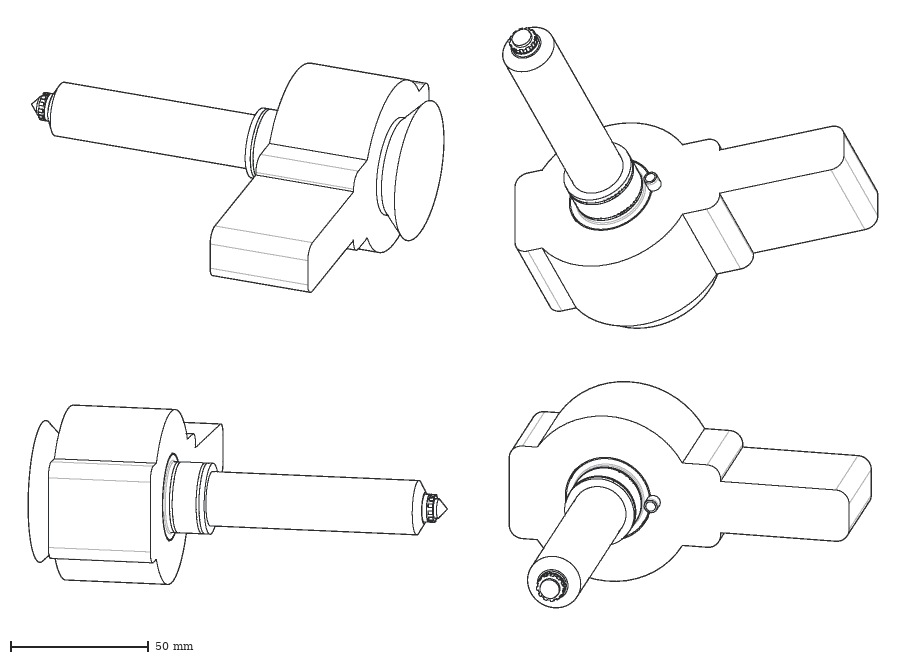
import cadquery as cq

housing_thickness = 38.0
disc_radius = 32.0
lug_reach = 37.0
lug_half_height = 18.0
shoulder_reach = 42.0
shoulder_half_height = 16.0
handle_reach = 90.0
handle_half_height = 10.0
corner_radius = 5.0

barrel_radius = 10.0
barrel_front = -92.0
nose_length = 2.5
nose_radius = 5.7
collar_radius = 13.0
collar_length = 15.0
collar_fillet = 0.5
flange_radius = 15.5
flange_depth = 5.0
flange_clearance = 0.5

ring_width = 1.0
ring_depth = 0.5
ring_inset = 2.0

point_length = 3.3
stem_radius = 3.6
stem_length = 1.2
nozzle_radius = 5.1
toothed_length = 1.7
relief_width = 0.6
relief_radius = 4.7
rim_length = 1.7
tooth_count = 12

pin_radius = 2.5
pin_offset = 16.9
pin_projection = 4.8
pin_point_length = 1.4
pin_point_radius = 1.8
pin_lead_length = 0.9
pin_lead_depth = 0.2

neck_radius = 18.1
neck_length = 2.0
flare_radius = 26.0
flare_length = 8.0

collar_front = -collar_length
nose_front = barrel_front - nose_length
rim_front = nose_front - rim_length
relief_front = rim_front - relief_width
teeth_front = relief_front - toothed_length
stem_front = teeth_front - stem_length
nozzle_tip = stem_front - point_length
ring_starts = [collar_front + ring_inset, -ring_inset - ring_width]


def half_profile(x, radius):
    """Start a profile of (X, radius) points for a body turned about the spindle axis."""
    profile_plane = cq.Plane(origin=(0, 0, 0), xDir=(1, 0, 0), normal=(0, 0, -1))
    return cq.Workplane(profile_plane).moveTo(x, radius)


def turned(profile):
    """Close the profile and turn it about the spindle axis."""
    return profile.close().revolve(360, (0, 0, 0), (1, 0, 0))


def cylinder(x, length, radius, offset=0):
    """A cylinder along X, its axis moved from the spindle axis by `offset` towards -Y."""
    return cq.Workplane("YZ", origin=(x, -offset, 0)).circle(radius).extrude(length)


def housing_arm(reach, half_height, rounded_edges):
    """A rounded bar from the spindle axis to Y = reach, as thick as the housing."""
    bar = cq.Workplane("XY").box(housing_thickness, abs(reach), 2 * half_height)
    bar = bar.translate((housing_thickness / 2, reach / 2, 0))
    return bar.edges(rounded_edges).fillet(corner_radius)


def pin_hole():
    return cylinder(0, flange_depth, pin_radius, pin_offset)


def make_housing():
    housing = cylinder(0, housing_thickness, disc_radius)
    housing = housing.union(housing_arm(lug_reach, lug_half_height, ">Y and |X"))
    housing = housing.union(housing_arm(-shoulder_reach, shoulder_half_height, "<Y and |X"))
    housing = housing.union(housing_arm(-handle_reach, handle_half_height, "<Y and |X"))
    flange_seat = cylinder(0, flange_depth, flange_radius + flange_clearance)
    return housing.cut(flange_seat).cut(pin_hole())


def make_ring(start):
    outer = cylinder(start, ring_width, collar_radius)
    return outer.cut(cylinder(start, ring_width, collar_radius - ring_depth))


def make_spindle():
    profile = (
        half_profile(nose_front, 0)
        .lineTo(nose_front, nose_radius)
        .lineTo(barrel_front, barrel_radius)
        .lineTo(collar_front, barrel_radius)
        .lineTo(collar_front, collar_radius)
        .lineTo(-collar_fillet, collar_radius)
        .radiusArc((0, collar_radius + collar_fillet), -collar_fillet)
        .lineTo(0, flange_radius)
        .lineTo(flange_depth, flange_radius)
        .lineTo(flange_depth, 0)
    )
    spindle = turned(profile)
    for start in ring_starts:
        spindle = spindle.cut(make_ring(start))
    return spindle.cut(pin_hole())


def tooth_gap():
    """One gap between two teeth: a ring sector as wide as a tooth."""
    section = (
        half_profile(teeth_front, relief_radius)
        .lineTo(teeth_front, nozzle_radius)
        .lineTo(relief_front, nozzle_radius)
        .lineTo(relief_front, relief_radius)
        .close()
    )
    return section.revolve(360 / tooth_count / 2, (0, 0, 0), (1, 0, 0))


def make_nozzle():
    profile = (
        half_profile(nozzle_tip, 0)
        .lineTo(stem_front, stem_radius)
        .lineTo(teeth_front, stem_radius)
        .lineTo(teeth_front, nozzle_radius)
        .lineTo(relief_front, nozzle_radius)
        .lineTo(relief_front, relief_radius)
        .lineTo(rim_front, relief_radius)
        .lineTo(rim_front, nozzle_radius)
        .lineTo(nose_front, nozzle_radius)
        .lineTo(nose_front, 0)
    )
    nozzle = turned(profile)
    gap = tooth_gap()
    for i in range(tooth_count):
        nozzle = nozzle.cut(gap.rotate((0, 0, 0), (1, 0, 0), i * 360 / tooth_count))
    return nozzle


def make_pin():
    profile = (
        half_profile(-pin_projection - pin_point_length, 0)
        .lineTo(-pin_projection, pin_point_radius)
        .lineTo(-pin_projection, pin_radius - pin_lead_depth)
        .lineTo(pin_lead_length - pin_projection, pin_radius)
        .lineTo(flange_depth, pin_radius)
        .lineTo(flange_depth, 0)
    )
    return turned(profile).translate((0, -pin_offset, 0))


def make_flare():
    neck_back = housing_thickness + neck_length
    flare_back = neck_back + flare_length
    profile = (
        half_profile(housing_thickness, 0)
        .lineTo(housing_thickness, neck_radius)
        .lineTo(neck_back, neck_radius)
        .lineTo(flare_back, flare_radius)
        .lineTo(flare_back, 0)
    )
    return turned(profile)


housing = make_housing()
spindle = make_spindle()
rings = [make_ring(start) for start in ring_starts]
nozzle = make_nozzle()
pin = make_pin()
flare = make_flare()

result = cq.Compound.makeCompound(
    [
        *housing.vals(),
        *spindle.vals(),
        *[ring.val() for ring in rings],
        *nozzle.vals(),
        *pin.vals(),
        *flare.vals(),
    ]
)